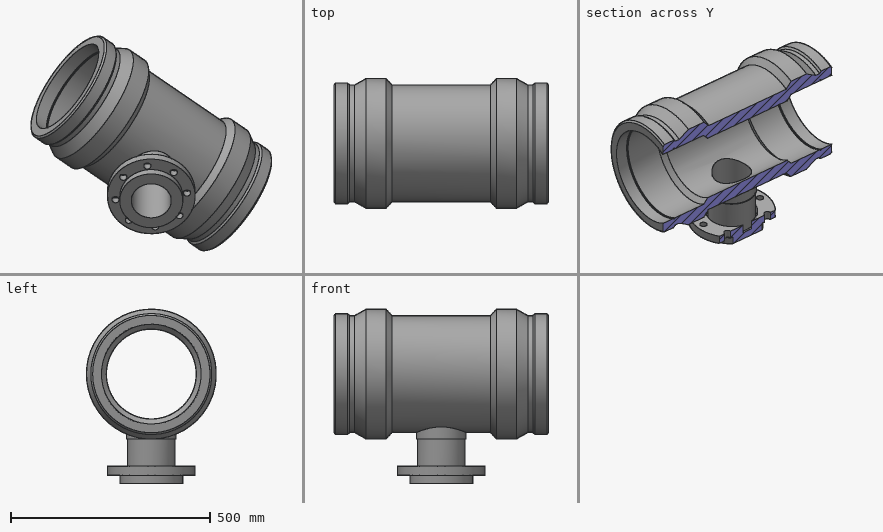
import cadquery as cq

LENGTH = 538.0
BARREL_DIAMETER = 293.0
BORE_DIAMETER = 225.0

RIM_DIAMETER = 303.5
RIM_FACE_DIAMETER = 294.5
BULGE_DIAMETER = 326.0
RIM_CHAMFER_LENGTH = 4.5
RIM_END = 34.5
NECK_START = 39.5
NECK_END = 51.5
BULGE_START = 80.5
BULGE_END = 130.0
BARREL_START = 146.0

SOCKET_DIAMETER = 250.0
SHOULDER_START = 129.0
SHOULDER_END = SHOULDER_START + (SOCKET_DIAMETER - BORE_DIAMETER) / 2
SEAL_GROOVE_START = 34.0
SEAL_GROOVE_WIDTH = 3.0
SEAL_GROOVE_DEPTH = 2.0

BRANCH_BOTTOM = -275.0
BRANCH_DIAMETER = 120.0
BRANCH_BORE_DIAMETER = 100.0
COLLAR_DIAMETER = 125.0
COLLAR_BOTTOM = -BULGE_DIAMETER / 2
STUB_DIAMETER = 158.0
STUB_THICKNESS = 21.0

FLANGE_DIAMETER = 220.0
FLANGE_BORE_DIAMETER = 130.0
FLANGE_THICKNESS = 23.0
BOLT_COUNT = 8
BOLT_CIRCLE_DIAMETER = 180.0
BOLT_HOLE_DIAMETER = 18.0

FLANGE_BOTTOM = BRANCH_BOTTOM + STUB_THICKNESS


def revolve_symmetric(half_profile):
    """Revolve (distance from end, diameter) stations around X, mirrored about X = 0."""
    left = [(inset - LENGTH / 2, diameter / 2) for inset, diameter in half_profile]
    right = [(-x, radius) for x, radius in reversed(left)]
    outline = [(-LENGTH / 2, 0)] + left + right + [(LENGTH / 2, 0)]
    return cq.Workplane("XY").polyline(outline).close().revolve(360, (0, 0, 0), (1, 0, 0))


def upright_cylinder(diameter, bottom, top):
    return cq.Workplane("XY").workplane(offset=bottom).circle(diameter / 2).extrude(top - bottom)


def pipe_outside():
    return revolve_symmetric([
        (0, RIM_FACE_DIAMETER),
        (RIM_CHAMFER_LENGTH, RIM_DIAMETER),
        (RIM_END, RIM_DIAMETER),
        (NECK_START, BARREL_DIAMETER),
        (NECK_END, BARREL_DIAMETER),
        (BULGE_START, BULGE_DIAMETER),
        (BULGE_END, BULGE_DIAMETER),
        (BARREL_START, BARREL_DIAMETER),
    ])


def pipe_inside():
    groove_end = SEAL_GROOVE_START + SEAL_GROOVE_WIDTH
    groove_diameter = SOCKET_DIAMETER + 2 * SEAL_GROOVE_DEPTH
    return revolve_symmetric([
        (0, SOCKET_DIAMETER),
        (SEAL_GROOVE_START, SOCKET_DIAMETER),
        (SEAL_GROOVE_START, groove_diameter),
        (groove_end, groove_diameter),
        (groove_end, SOCKET_DIAMETER),
        (SHOULDER_START, SOCKET_DIAMETER),
        (SHOULDER_END, BORE_DIAMETER),
    ])


def branch_outside():
    pipe = upright_cylinder(BRANCH_DIAMETER, BRANCH_BOTTOM, 0)
    collar = upright_cylinder(COLLAR_DIAMETER, COLLAR_BOTTOM, 0)
    stub = upright_cylinder(STUB_DIAMETER, BRANCH_BOTTOM, FLANGE_BOTTOM)
    return pipe.union(collar).union(stub)


def loose_flange():
    return (
        cq.Workplane("XY")
        .workplane(offset=FLANGE_BOTTOM)
        .circle(FLANGE_DIAMETER / 2)
        .circle(FLANGE_BORE_DIAMETER / 2)
        .extrude(FLANGE_THICKNESS)
        .faces(">Z")
        .workplane(origin=(0, 0, 0))
        .polarArray(BOLT_CIRCLE_DIAMETER / 2, 0, 360, BOLT_COUNT)
        .hole(BOLT_HOLE_DIAMETER)
    )


branch_bore = upright_cylinder(BRANCH_BORE_DIAMETER, BRANCH_BOTTOM, 0)

result = (
    pipe_outside()
    .union(branch_outside())
    .cut(pipe_inside())
    .cut(branch_bore)
    .union(loose_flange())
)